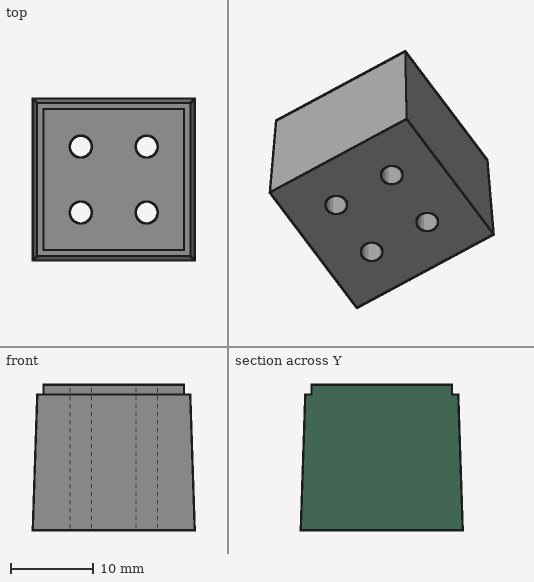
import cadquery as cq

base_side = 19.71
shoulder_side = 18.6
total_height = 17.7

pad_side = 17.1
pad_height = 1.16
body_height = total_height - pad_height

hole_diameter = 2.65
hole_spacing = 8.0


def tapered_body():
    return (
        cq.Workplane("XY")
        .rect(base_side, base_side)
        .workplane(offset=body_height)
        .rect(shoulder_side, shoulder_side)
        .loft(ruled=True)
    )


def add_pad(body):
    return body.faces(">Z").workplane().rect(pad_side, pad_side).extrude(pad_height)


def drill_holes(body):
    return (
        body.faces(">Z")
        .workplane()
        .rarray(hole_spacing, hole_spacing, 2, 2)
        .hole(hole_diameter)
    )


result = drill_holes(add_pad(tapered_body()))